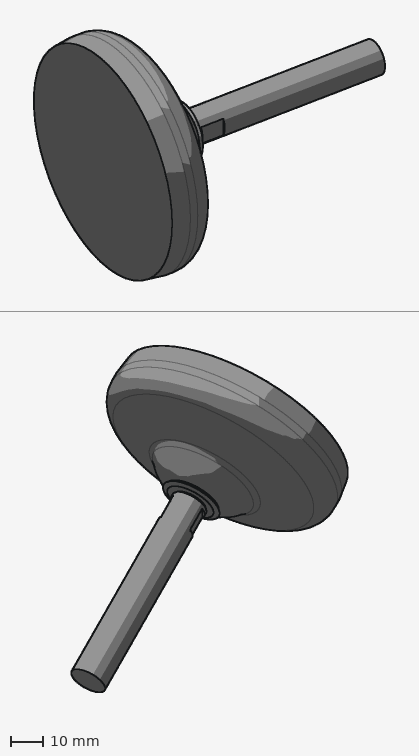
import cadquery as cq
import math


total_height = 101.5
pad_radius = 40.0

underside_radius = 39.2
taper_height = 6.2
band_top = 8.9
shoulder_radius = 7.4
cone_slope = 20.6
dome_radius = 22.1
dome_center_height = 9.8
dome_top = 29.9
dome_blend_radius = 4.0

collar_bottom_radius = 9.2
collar_radius = 9.9
collar_top_radius = 8.1
collar_edge_height = 0.9
collar_height = 1.5
stem_radius = 6.0
stem_chamfer_height = 0.6
stem_chamfer_width = 0.5
wrench_flat_bottom = 33.3
wrench_flat_length = 8.3
wrench_flat_width = 10.2


def dome_radius_at(height):
    """Radius of the spherical dome at a given height."""
    return math.sqrt(dome_radius**2 - (height - dome_center_height)**2)


def shoulder_point(angle_degrees):
    """Point on the shoulder arc; the angle starts at the widest band."""
    angle = math.radians(angle_degrees)
    return (
        pad_radius - shoulder_radius * (1 - math.cos(angle)),
        band_top + shoulder_radius * math.sin(angle),
    )


def cone_dome_meeting(cone_start):
    """Point where the cone, rising inward from cone_start, meets the dome."""
    slope = math.radians(cone_slope)
    inward = -math.cos(slope)
    upward = math.sin(slope)
    start_radius = cone_start[0]
    start_height = cone_start[1] - dome_center_height
    half_b = start_radius * inward + start_height * upward
    c = start_radius**2 + start_height**2 - dome_radius**2
    distance = -half_b - math.sqrt(half_b**2 - c)
    return (start_radius + distance * inward, cone_start[1] + distance * upward)


def make_foot_pad():
    shoulder_sweep = 90 - cone_slope
    shoulder_middle = shoulder_point(shoulder_sweep / 2)
    shoulder_end = shoulder_point(shoulder_sweep)
    dome_start = cone_dome_meeting(shoulder_end)
    dome_middle_height = (dome_start[1] + dome_top) / 2
    pad = (
        cq.Workplane("XY")
        .lineTo(underside_radius, 0)
        .lineTo(pad_radius, taper_height)
        .lineTo(pad_radius, band_top)
        .threePointArc(shoulder_middle, shoulder_end)
        .lineTo(*dome_start)
        .threePointArc(
            (dome_radius_at(dome_middle_height), dome_middle_height),
            (dome_radius_at(dome_top), dome_top),
        )
        .lineTo(0, dome_top)
        .close()
        .revolve(360, (0, 0, 0), (0, 1, 0))
    )
    reach = pad_radius
    margin = 0.1
    edge_finder = cq.selectors.BoxSelector(
        (-reach, dome_start[1] - margin, -reach),
        (reach, dome_start[1] + margin, reach),
    )
    return pad.edges("%CIRCLE").edges(edge_finder).fillet(dome_blend_radius)


def make_stud():
    collar_top = dome_top + collar_height
    stud = (
        cq.Workplane("XY")
        .moveTo(0, dome_top)
        .lineTo(collar_bottom_radius, dome_top)
        .lineTo(collar_radius, dome_top + collar_edge_height)
        .lineTo(collar_top_radius, collar_top)
        .lineTo(stem_radius - stem_chamfer_width, collar_top)
        .lineTo(stem_radius, collar_top + stem_chamfer_height)
        .lineTo(stem_radius, total_height)
        .lineTo(0, total_height)
        .close()
        .revolve(360, (0, 0, 0), (0, 1, 0))
    )
    cutter_size = 2 * stem_radius
    for side in (-1, 1):
        flat_cutter = cq.Workplane("XY").box(cutter_size, wrench_flat_length, cutter_size).translate((
            side * (wrench_flat_width + cutter_size) / 2,
            wrench_flat_bottom + wrench_flat_length / 2,
            0,
        ))
        stud = stud.cut(flat_cutter)
    return stud


foot_pad = make_foot_pad()
stud = make_stud()

result = cq.Compound.makeCompound([foot_pad.solids().val(), stud.solids().val()])